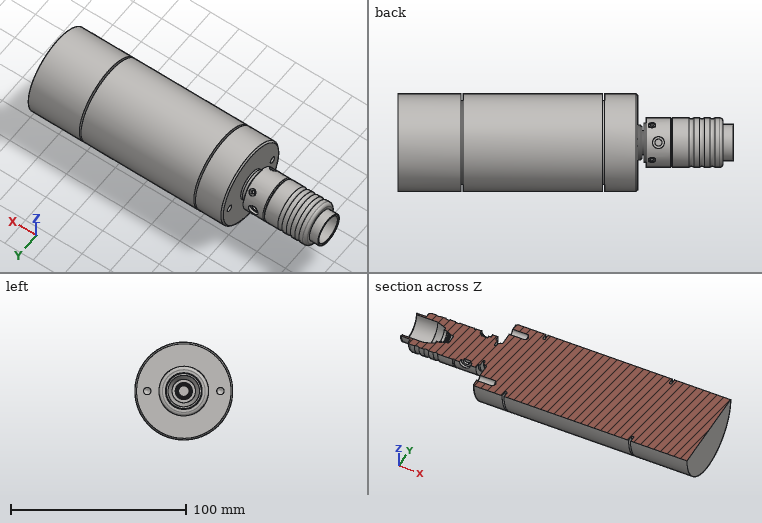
import cadquery as cq
import math

nose_end = 6.0
sleeve_end = 50.0
collar_end = 51.2
neck_end = 52.2
taper_end = 53.5
body_start = 54.7
total_length = 191.7

nose_dia = 21.0
sleeve_dia = 28.4
collar_dia = 22.6
neck_dia = 14.0
taper_dia = 18.0
hub_dia = 20.2
body_dia = 56.0

sleeve_fillet = 2.0
body_chamfer = 1.0

grip_groove_count = 3
grip_groove_first = 12.1
grip_groove_pitch = 6.0
grip_groove_width = 2.9
grip_groove_floor_dia = 27.3

joint_groove_center = 35.5
joint_groove_width = 1.2
joint_groove_root_dia = 27.21

body_groove_centers = (74.2, 155.0)
body_groove_width = 1.2
body_groove_floor_dia = 48.18

mouth_dia = 20.0
mouth_depth = 0.3
bore_dia = 18.0
bore_depth = 14.0
cone_small_dia = 13.4
cone_depth = 20.0
bore_steps = [
    (9.8, 22.0),
    (9.0, 23.0),
    (8.0, 24.0),
    (6.9, 25.0),
    (6.0, 27.0),
]

socket_x = 42.9
socket_dia = 6.8
socket_depth = 2.0
socket_hole_dia = 4.0
socket_hole_depth = 3.5

screw_x = 46.6
screw_count = 4
screw_dia = 4.2
screw_depth = 1.0
screw_hole_dia = 2.2
screw_hole_depth = 2.5

face_hole_dia = 4.2
face_hole_offset = 20.9
face_hole_depth = 10.0
drill_point_angle = 118.0


def make_outer_shape():
    """Revolve the stepped outline about the X axis."""
    sleeve_r = sleeve_dia / 2
    body_r = body_dia / 2
    arc_offset = sleeve_fillet * (1 - math.sqrt(0.5))
    outline = (
        cq.Workplane("XY")
        .moveTo(0, 0)
        .lineTo(0, nose_dia / 2)
        .lineTo(nose_end, nose_dia / 2)
        .lineTo(nose_end, sleeve_r - sleeve_fillet)
        .threePointArc(
            (nose_end + arc_offset, sleeve_r - arc_offset),
            (nose_end + sleeve_fillet, sleeve_r),
        )
        .lineTo(sleeve_end, sleeve_r)
        .lineTo(sleeve_end, collar_dia / 2)
        .lineTo(collar_end, collar_dia / 2)
        .lineTo(collar_end, neck_dia / 2)
        .lineTo(neck_end, neck_dia / 2)
        .lineTo(neck_end, taper_dia / 2)
        .lineTo(taper_end, hub_dia / 2)
        .lineTo(body_start, hub_dia / 2)
        .lineTo(body_start, body_r - body_chamfer)
        .lineTo(body_start + body_chamfer, body_r)
        .lineTo(total_length, body_r)
        .lineTo(total_length, 0)
        .close()
    )
    return outline.revolve(360, (0, 0, 0), (1, 0, 0))


def make_grip_groove(center):
    """Ring with an arc-shaped floor, wider than the sleeve."""
    sleeve_r = sleeve_dia / 2
    start = center - grip_groove_width / 2
    end = center + grip_groove_width / 2
    section = (
        cq.Workplane("XY")
        .moveTo(start, sleeve_r)
        .threePointArc((center, grip_groove_floor_dia / 2), (end, sleeve_r))
        .lineTo(end, body_dia / 2)
        .lineTo(start, body_dia / 2)
        .close()
    )
    return section.revolve(360, (0, 0, 0), (1, 0, 0))


def make_joint_groove():
    """V-section ring with its mouth at the sleeve surface."""
    sleeve_r = sleeve_dia / 2
    start = joint_groove_center - joint_groove_width / 2
    end = joint_groove_center + joint_groove_width / 2
    section = (
        cq.Workplane("XY")
        .moveTo(start, sleeve_r)
        .lineTo(joint_groove_center, joint_groove_root_dia / 2)
        .lineTo(end, sleeve_r)
        .lineTo(end, body_dia / 2)
        .lineTo(start, body_dia / 2)
        .close()
    )
    return section.revolve(360, (0, 0, 0), (1, 0, 0))


def make_body_groove(center):
    """Flat-bottomed ring reaching past the largest diameter."""
    return (
        cq.Workplane("YZ", origin=(center - body_groove_width / 2, 0, 0))
        .circle(body_dia)
        .circle(body_groove_floor_dia / 2)
        .extrude(body_groove_width)
    )


def make_bore():
    """Revolved cavity: shallow mouth, bore, cone and smaller steps."""
    outline = (
        cq.Workplane("XY")
        .moveTo(0, 0)
        .lineTo(0, mouth_dia / 2)
        .lineTo(mouth_depth, mouth_dia / 2)
        .lineTo(mouth_depth, bore_dia / 2)
        .lineTo(bore_depth, bore_dia / 2)
        .lineTo(cone_depth, cone_small_dia / 2)
    )
    floor = cone_depth
    for diameter, depth in bore_steps:
        outline = outline.lineTo(floor, diameter / 2).lineTo(depth, diameter / 2)
        floor = depth
    return outline.lineTo(floor, 0).close().revolve(360, (0, 0, 0), (1, 0, 0))


def make_radial_hole(x, diameter, depth, angle):
    """Cylinder cut inward from the sleeve surface; angle 0 is +Y."""
    hole = (
        cq.Workplane("XZ", origin=(x, sleeve_dia / 2 - depth, 0))
        .circle(diameter / 2)
        .extrude(-sleeve_dia / 2)
    )
    return hole.rotate((0, 0, 0), (1, 0, 0), angle)


def make_face_hole(y):
    """Blind drilled hole with a conical bottom."""
    radius = face_hole_dia / 2
    tip_length = radius / math.tan(math.radians(drill_point_angle / 2))
    outline = (
        cq.Workplane("XY")
        .moveTo(body_start, y)
        .lineTo(body_start, y + radius)
        .lineTo(body_start + face_hole_depth, y + radius)
        .lineTo(body_start + face_hole_depth + tip_length, y)
        .close()
    )
    return outline.revolve(360, (0, y, 0), (1, y, 0))


result = make_outer_shape().cut(make_bore())

for index in range(grip_groove_count):
    result = result.cut(make_grip_groove(grip_groove_first + index * grip_groove_pitch))

result = result.cut(make_joint_groove())

for center in body_groove_centers:
    result = result.cut(make_body_groove(center))

for angle in (0, 180):
    result = result.cut(make_radial_hole(socket_x, socket_dia, socket_depth, angle))
    result = result.cut(make_radial_hole(socket_x, socket_hole_dia, socket_hole_depth, angle))

for index in range(screw_count):
    angle = (index + 0.5) * 360 / screw_count
    result = result.cut(make_radial_hole(screw_x, screw_dia, screw_depth, angle))
    result = result.cut(make_radial_hole(screw_x, screw_hole_dia, screw_hole_depth, angle))

for y in (face_hole_offset, -face_hole_offset):
    result = result.cut(make_face_hole(y))